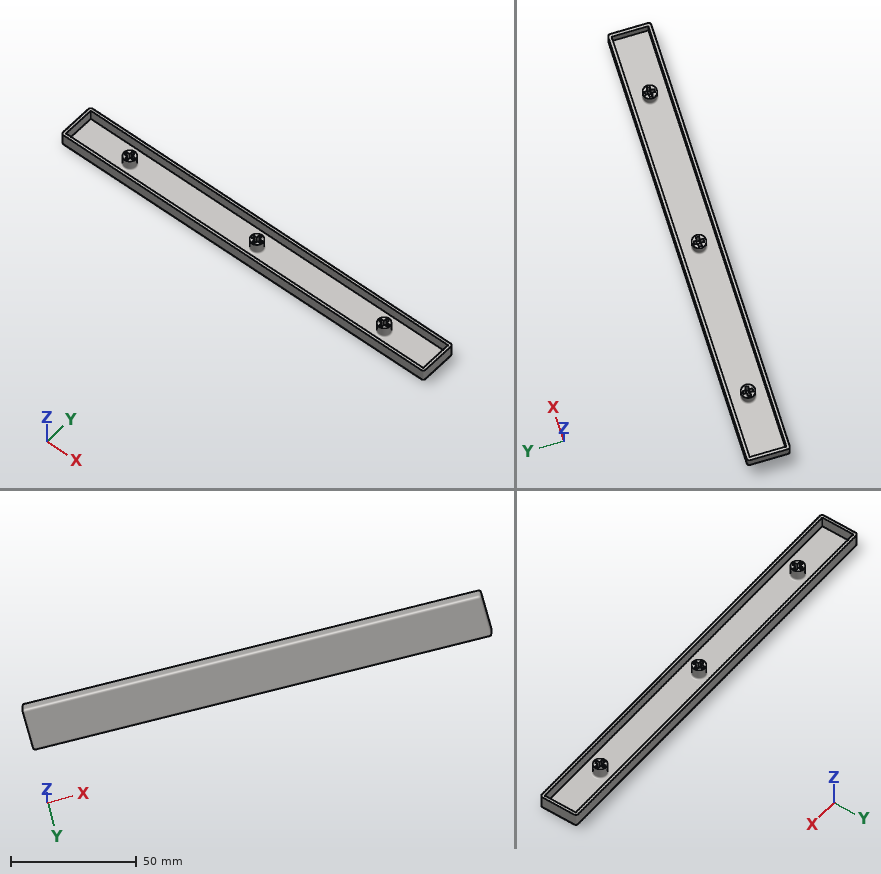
import cadquery as cq

length = 189.5
width = 18.0
height = 6.6
wall = 1.3
floor = 1.5
outer_radius = 1.1

stem_spacing = 66.5
stem_diameter = 5.9
stem_height = 5.1
root_fillet = 0.8

cross_span = 4.2
cross_slot = 1.3


def make_tray():
    """Open-topped tray with rounded outer edges and a sharp-cornered cavity."""
    block = cq.Workplane("XY").box(length, width, height, centered=(True, True, False))
    block = block.edges("|Z").fillet(outer_radius)
    block = block.faces("<Z").edges().fillet(outer_radius)
    cavity = (
        cq.Workplane("XY")
        .workplane(offset=floor)
        .rect(length - 2 * wall, width - 2 * wall)
        .extrude(height - floor)
    )
    return block.cut(cavity)


def make_stem():
    """Round stem standing on the floor, flared at its root by a concave fillet."""
    radius = stem_diameter / 2
    root_radius = radius + root_fillet
    arc_offset = root_fillet * (1 - 0.5 ** 0.5)
    profile = (
        cq.Workplane("XZ")
        .lineTo(root_radius, 0)
        .lineTo(root_radius, floor)
        .threePointArc((radius + arc_offset, floor + arc_offset), (radius, floor + root_fillet))
        .lineTo(radius, floor + stem_height)
        .lineTo(0, floor + stem_height)
        .close()
    )
    return profile.revolve(360, (0, 0, 0), (0, 1, 0))


def make_socket():
    """Cross-shaped socket, running from the floor to the top of a stem."""
    base = cq.Workplane("XY").workplane(offset=floor)
    along_x = base.rect(cross_span, cross_slot).extrude(stem_height)
    along_y = base.rect(cross_slot, cross_span).extrude(stem_height)
    return along_x.union(along_y)


stem = make_stem().cut(make_socket())
result = make_tray()
for stem_x in (-stem_spacing, 0, stem_spacing):
    result = result.union(stem.translate((stem_x, 0, 0)))